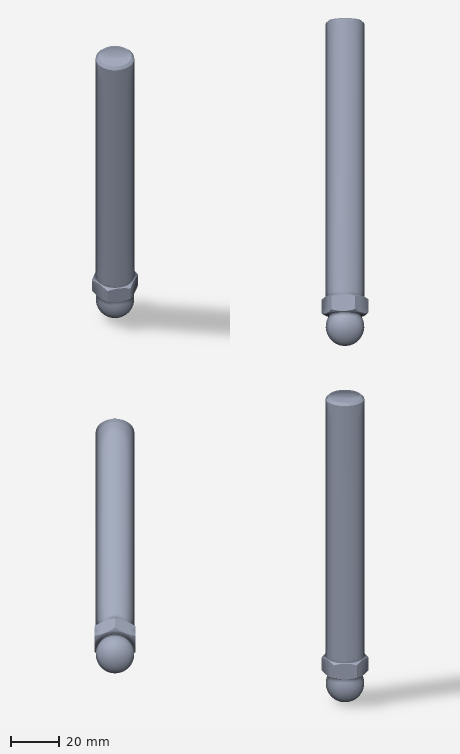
import cadquery as cq
import math

total_length = 137.0
rod_diameter = 16.0
ball_diameter = 16.0
neck_diameter = 13.0
end_chamfer = 1.1
hex_across_flats = 17.0
hex_bottom = 13.0
hex_height = 7.3
hex_face_diameter = 16.7
hex_bevel_angle = 30.0

ball_radius = ball_diameter / 2
hex_across_corners = hex_across_flats / math.cos(math.pi / 6)
hex_top = hex_bottom + hex_height


def make_ball():
    """Ball end resting on the origin plane."""
    return cq.Workplane("XY").sphere(ball_radius).translate((0, 0, ball_radius))


def make_neck():
    """Short cylinder from the ball centre up into the hexagon."""
    neck_length = hex_bottom - ball_radius
    return cq.Workplane("XY").workplane(offset=ball_radius).circle(neck_diameter / 2).extrude(neck_length)


def make_hexagon():
    """Wrench hexagon with its corners bevelled conically at both ends."""
    prism = (
        cq.Workplane("XY")
        .workplane(offset=hex_bottom)
        .polygon(6, hex_across_corners)
        .extrude(hex_height)
    )
    corner_radius = hex_across_corners / 2
    face_radius = hex_face_diameter / 2
    bevel_height = (corner_radius - face_radius) * math.tan(math.radians(hex_bevel_angle))
    bevel_envelope = (
        cq.Workplane("XZ")
        .moveTo(0, hex_bottom)
        .lineTo(face_radius, hex_bottom)
        .lineTo(corner_radius, hex_bottom + bevel_height)
        .lineTo(corner_radius, hex_top - bevel_height)
        .lineTo(face_radius, hex_top)
        .lineTo(0, hex_top)
        .close()
        .revolve(360, (0, 0, 0), (0, 1, 0))
    )
    return prism.intersect(bevel_envelope)


def make_rod():
    """Long plain rod with a chamfered free end."""
    return (
        cq.Workplane("XY")
        .workplane(offset=hex_top)
        .circle(rod_diameter / 2)
        .extrude(total_length - hex_top)
        .faces(">Z")
        .chamfer(end_chamfer)
    )


result = make_ball().union(make_neck()).union(make_hexagon()).union(make_rod())